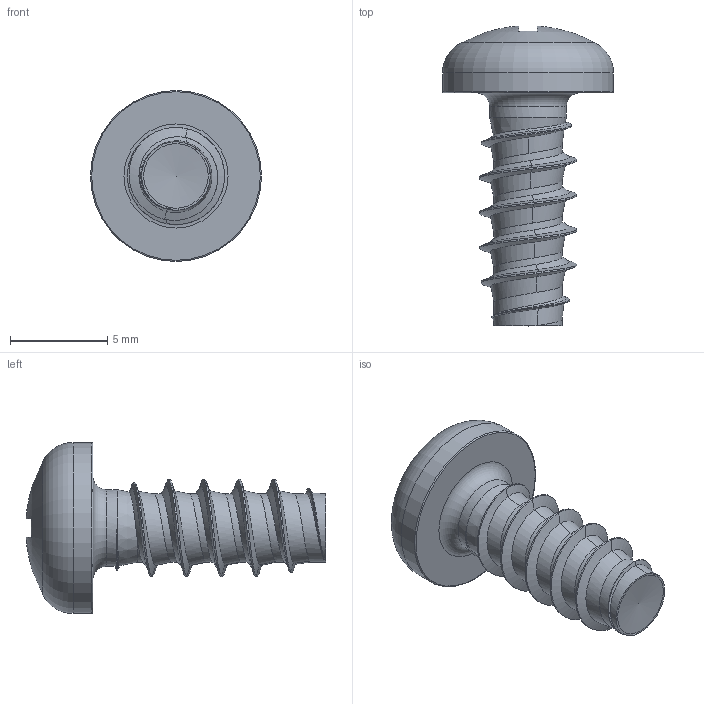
import cadquery as cq
import math


HEAD_RADIUS = 4.4
HEAD_HEIGHT = 3.47
RIM_HEIGHT = 1.02
RIM_FILLET = 0.06
SHOULDER_RADIUS = 1.73
SHOULDER_ANGLE = 63.5

WING_WIDTH = 0.95
WING_SPAN = 4.0
RECESS_FLOOR = 1.6

SHANK_LENGTH = 12.0
NECK_RADIUS = 1.977
NECK_FILLET = 0.7
NECK_END = 1.265
CONE_END = 2.3
CORE_RADIUS = 1.76
DIMPLE_RADIUS = 1.66
DIMPLE_DEPTH = 0.13

PITCH = 1.8
THREAD_START = 1.22
CREST_RADIUS = 2.5
FOOT_RADIUS = CORE_RADIUS - 0.01
BASE_RADIUS = 1.5
CREST_HALF_WIDTH = 0.04
KINK = (-0.15, 2.12)
ROOT = (0.21, 1.93)
HEAD_SIDE_FOOT = -0.42
TAPER_FOOT = 1.08
BASE_INSET = 0.1

RUN_IN_HEIGHT = 0.55
RUN_IN_END = 1.0
RUN_OUT_START = 4.6
VANISHING_TURN = 6.0
LAST_TURN = 5.95
LONGEST_PIECE = 0.5
STEPS_PER_PIECE = 12

LEAD_IN_START = -0.3
LEAD_IN_END = 0.02
LEAD_IN_POSITION = 1.26
LEAD_IN_HEIGHT = 0.27


def make_revolved_body():
    """Head, neck and cylindrical core as one turned body."""
    angle = math.radians(SHOULDER_ANGLE)
    shoulder_center = HEAD_RADIUS - SHOULDER_RADIUS

    def on_shoulder(a):
        return (shoulder_center + SHOULDER_RADIUS * math.cos(a), RIM_HEIGHT + SHOULDER_RADIUS * math.sin(a))

    dome_edge = on_shoulder(angle)
    dome_drop = HEAD_HEIGHT - dome_edge[1]
    dome_radius = (dome_edge[0] ** 2 + dome_drop ** 2) / (2 * dome_drop)
    half_dome_angle = math.asin(dome_edge[0] / dome_radius) / 2
    dome_middle = (
        dome_radius * math.sin(half_dome_angle),
        HEAD_HEIGHT - dome_radius * (1 - math.cos(half_dome_angle)),
    )
    profile = (
        cq.Workplane("XY")
        .moveTo(0, -SHANK_LENGTH)
        .lineTo(CORE_RADIUS, -SHANK_LENGTH)
        .lineTo(CORE_RADIUS, -CONE_END)
        .lineTo(NECK_RADIUS, -NECK_END)
        .lineTo(NECK_RADIUS, -NECK_FILLET)
        .radiusArc((NECK_RADIUS + NECK_FILLET, 0), NECK_FILLET)
        .lineTo(HEAD_RADIUS - RIM_FILLET, 0)
        .radiusArc((HEAD_RADIUS, RIM_FILLET), -RIM_FILLET)
        .lineTo(HEAD_RADIUS, RIM_HEIGHT)
        .threePointArc(on_shoulder(angle / 2), dome_edge)
        .threePointArc(dome_middle, (0, HEAD_HEIGHT))
        .close()
    )
    return profile.revolve(360, (0, 0, 0), (0, 1, 0))


def scale_corner(corner, height):
    """Shrink a ridge corner towards the foot, keeping the slopes of the flanks."""
    offset, radius = corner
    return (offset * height, FOOT_RADIUS + (radius - FOOT_RADIUS) * height)


def make_ridge(profile, first_turn, last_turn, crest_y):
    """Solid ridge wound around the axis.

    profile(turn) lists the (offset towards the tip, radius) corners at a turn and
    crest_y(turn) gives the axial position of the crest there.
    """

    def place(corner, turn):
        offset, radius = corner
        angle = 2 * math.pi * turn
        return cq.Vector(radius * math.sin(angle), crest_y(turn) - offset, -radius * math.cos(angle))

    def trace_edges(start, length):
        turns = [start + length * i / STEPS_PER_PIECE for i in range(STEPS_PER_PIECE + 1)]
        rings = [[place(corner, turn) for corner in profile(turn)] for turn in turns]
        return [cq.Edge.makeSpline(list(points)) for points in zip(*rings)]

    pieces = math.ceil((last_turn - first_turn) / LONGEST_PIECE)
    length = (last_turn - first_turn) / pieces
    faces = []
    for piece in range(pieces):
        edges = trace_edges(first_turn + piece * length, length)
        faces += [cq.Face.makeRuledSurface(edge, edges[i - 1]) for i, edge in enumerate(edges)]
    for turn in (first_turn, last_turn):
        outline = cq.Wire.makePolygon([place(corner, turn) for corner in profile(turn)], close=True)
        faces.append(cq.Face.makeFromWires(outline))
    return cq.Workplane(obj=cq.Solid.makeSolid(cq.Shell.makeShell(faces)).fix())


def thread_height(turn):
    """Relative height: grows over the run-in, stays full, falls away at the tip."""
    run_in = RUN_IN_HEIGHT + (1 - RUN_IN_HEIGHT) * turn / RUN_IN_END
    run_out = (VANISHING_TURN - turn) / (VANISHING_TURN - RUN_OUT_START)
    return min(run_in, 1, run_out)


def make_thread():
    """Thread together with the core taper that follows it on the tip side."""
    flanks = [
        (HEAD_SIDE_FOOT, FOOT_RADIUS),
        KINK,
        (-CREST_HALF_WIDTH, CREST_RADIUS),
        (CREST_HALF_WIDTH, CREST_RADIUS),
        ROOT,
    ]
    buried = [
        (TAPER_FOOT, FOOT_RADIUS),
        (TAPER_FOOT - BASE_INSET, BASE_RADIUS),
        (HEAD_SIDE_FOOT + BASE_INSET, BASE_RADIUS),
    ]

    def profile(turn):
        return [scale_corner(corner, thread_height(turn)) for corner in flanks] + buried

    return make_ridge(profile, 0, LAST_TURN, lambda turn: -THREAD_START - PITCH * turn)


def make_lead_in():
    """Thin fin at constant axial position that rises to meet the thread."""
    half_width = ROOT[0]
    flanks = [
        (-half_width, FOOT_RADIUS),
        (-CREST_HALF_WIDTH, CREST_RADIUS),
        (CREST_HALF_WIDTH, CREST_RADIUS),
        (half_width, FOOT_RADIUS),
    ]
    base_half_width = half_width * LEAD_IN_HEIGHT
    buried = [(base_half_width, BASE_RADIUS), (-base_half_width, BASE_RADIUS)]

    def profile(turn):
        height = RUN_IN_HEIGHT + (LEAD_IN_HEIGHT - RUN_IN_HEIGHT) * turn / LEAD_IN_START
        return [scale_corner(corner, height) for corner in flanks] + buried

    return make_ridge(profile, LEAD_IN_START, LEAD_IN_END, lambda turn: -LEAD_IN_POSITION)


def make_tip_cutters():
    """Everything beyond the flat tip, plus the shallow conical dimple in it."""
    beyond = cq.Workplane("XZ").workplane(offset=SHANK_LENGTH).circle(HEAD_RADIUS).extrude(2 * PITCH)
    dimple = (
        cq.Workplane("XY")
        .polyline([(0, -SHANK_LENGTH), (DIMPLE_RADIUS, -SHANK_LENGTH), (0, DIMPLE_DEPTH - SHANK_LENGTH)])
        .close()
        .revolve(360, (0, 0, 0), (0, 1, 0))
    )
    return beyond, dimple


def make_recess():
    """Cross-shaped driver recess, its wings along X and Z."""
    outline = cq.Workplane("XZ").workplane(offset=-HEAD_HEIGHT).rect(WING_SPAN, WING_WIDTH)
    wing = outline.extrude(HEAD_HEIGHT - RECESS_FLOOR)
    return wing.union(wing.rotate((0, 0, 0), (0, 1, 0), 90))


screw = make_revolved_body().union(make_thread(), clean=False).union(make_lead_in(), clean=False)
for cutter in (*make_tip_cutters(), make_recess()):
    screw = screw.cut(cutter, clean=False)
result = cq.Workplane(obj=screw.solids().val())